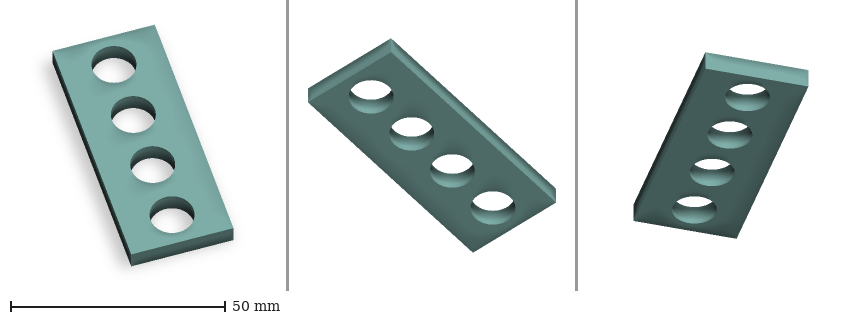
import cadquery as cq

length = 61.0
width = 25.0
thickness = 4.8

hole_count = 4
hole_diameter = 10.5
hole_pitch = 15.0

plate = cq.Workplane("XY").box(length, width, thickness)

result = (
    plate.faces(">Z")
    .workplane()
    .rarray(hole_pitch, 0.6, hole_count, 1)
    .hole(hole_diameter)
)